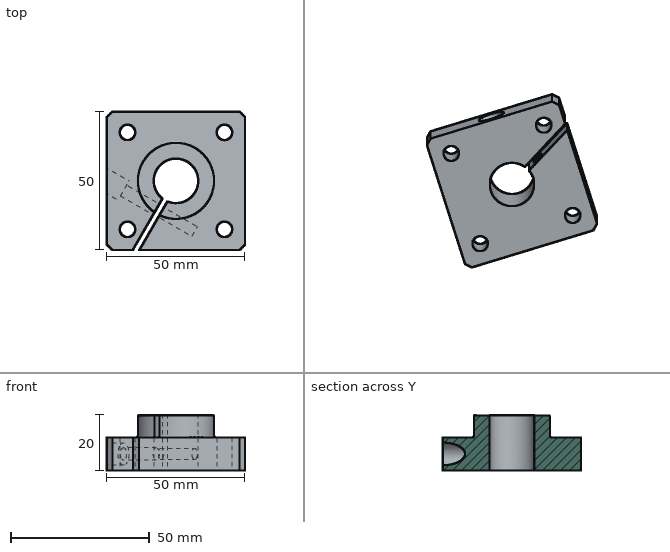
import cadquery as cq
import math

flange_side = 50.0
flange_height = 12.0
corner_chamfer = 2.0
mount_hole_diameter = 5.5
mount_hole_spacing = 35.0

total_height = 20.0
hub_diameter = 27.5
hub_edge_radius = 0.5
bore_diameter = 16.0

slit_width = 2.0
slit_angle = -120.0

screw_height = flange_height / 2
screw_head_diameter = 8.0
screw_head_depth = 7.0
screw_clearance_diameter = 4.5
screw_thread_diameter = 4.0
screw_thread_length = 15.0


def make_flange():
    """Square plate with chamfered corners and four mounting holes."""
    return (
        cq.Workplane("XY")
        .rect(flange_side, flange_side)
        .extrude(flange_height)
        .edges("|Z")
        .chamfer(corner_chamfer)
        .faces(">Z")
        .workplane()
        .rect(mount_hole_spacing, mount_hole_spacing, forConstruction=True)
        .vertices()
        .hole(mount_hole_diameter)
    )


def make_hub():
    """Revolved hub with a rounded top edge and a concave fillet at its foot."""
    radius = hub_diameter / 2
    edge = hub_edge_radius
    return (
        cq.Workplane("XZ")
        .moveTo(0, 0)
        .lineTo(radius + edge, 0)
        .lineTo(radius + edge, flange_height)
        .radiusArc((radius, flange_height + edge), edge)
        .lineTo(radius, total_height - edge)
        .radiusArc((radius - edge, total_height), -edge)
        .lineTo(0, total_height)
        .close()
        .revolve(360, (0, 0, 0), (0, 1, 0))
    )


def make_slit():
    """Slab from the shaft axis outward, long enough to leave the flange."""
    return (
        cq.Workplane("XY")
        .rect(flange_side, slit_width)
        .extrude(total_height)
        .translate((flange_side / 2, 0, 0))
        .rotate((0, 0, 0), (0, 0, 1), slit_angle)
    )


def make_clamp_screw_hole():
    """Head counterbore, clearance hole up to the slit and blind thread hole."""
    axis_angle = math.radians(slit_angle + 90)
    axis = cq.Vector(math.cos(axis_angle), math.sin(axis_angle), 0)
    entry = cq.Vector(-flange_side / 2, 0, screw_height)
    slit_distance = flange_side / 2 * math.cos(axis_angle)

    def drill(diameter, start, end):
        return cq.Workplane(
            cq.Solid.makeCylinder(diameter / 2, end - start, entry + axis * start, axis)
        )

    head = drill(screw_head_diameter, -screw_head_diameter, screw_head_depth)
    clearance = drill(screw_clearance_diameter, 0, slit_distance)
    thread = drill(screw_thread_diameter, 0, slit_distance + screw_thread_length)
    return head.union(clearance).union(thread)


bore = cq.Workplane("XY").circle(bore_diameter / 2).extrude(total_height)

result = (
    make_flange()
    .union(make_hub())
    .cut(bore)
    .cut(make_slit())
    .cut(make_clamp_screw_hole())
)